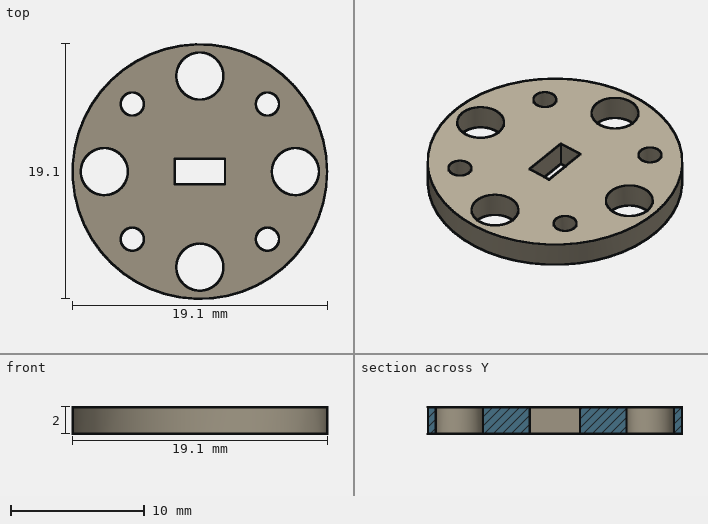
import cadquery as cq

disc_diameter = 19.05
disc_thickness = 2.0

bolt_circle_radius = 7.15
holes_per_set = 4
large_hole_diameter = 3.5
small_hole_diameter = 1.71
large_hole_start_angle = 0
small_hole_start_angle = 180 / holes_per_set

window_length = 3.73
window_width = 1.89


def drill_hole_set(body, diameter, start_angle):
    """Drill one set of evenly spaced through holes on the bolt circle."""
    return (
        body.faces(">Z")
        .workplane(origin=(0, 0, 0))
        .polarArray(bolt_circle_radius, start_angle, 360, holes_per_set)
        .hole(diameter)
    )


def cut_window(body):
    """Cut the central rectangular window through the disc."""
    return (
        body.faces(">Z")
        .workplane(origin=(0, 0, 0))
        .rect(window_length, window_width)
        .cutThruAll()
    )


disc = cq.Workplane("XY").circle(disc_diameter / 2).extrude(disc_thickness)
disc = drill_hole_set(disc, large_hole_diameter, large_hole_start_angle)
disc = drill_hole_set(disc, small_hole_diameter, small_hole_start_angle)
result = cut_window(disc)